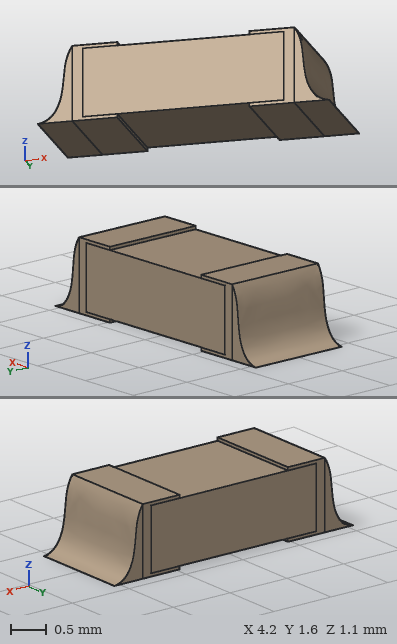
import cadquery as cq

LENGTH = 4.2
WIDTH = 1.6
HEIGHT = 1.1

CAP_TO_CAP = 3.2
CAP_LEG = 0.645
CAP_END_WALL = 0.15
CAP_PLATING = 0.05

FILLET_REACH = (LENGTH - CAP_TO_CAP) / 2
SHOULDER_OUT = 0.1
SHOULDER_HEIGHT = 0.85
WAIST_OUT = 0.175
WAIST_HEIGHT = 0.32
FOOT_OUT = 0.295
FOOT_HEIGHT = 0.1

CAP_FACE = CAP_TO_CAP / 2
CORE_LENGTH = CAP_TO_CAP - 2 * CAP_END_WALL
CORE_HEIGHT = HEIGHT - 2 * CAP_PLATING


def block(length, height, center_x, base_z):
    """Full-width block centred on Y, standing on base_z."""
    return (
        cq.Workplane("XY")
        .box(length, WIDTH, height, centered=(True, True, False))
        .translate((center_x, 0, base_z))
    )


def make_core():
    """Plain rectangular core raised by the plating thickness."""
    return block(CORE_LENGTH, CORE_HEIGHT, 0, CAP_PLATING)


def make_end_cap(side):
    """C-shaped cap whose recess matches the core; side is -1 or +1 along X."""
    blank = block(CAP_LEG, HEIGHT, side * (CAP_FACE - CAP_LEG / 2), 0)
    return blank.cut(make_core())


def make_solder_fillet(side):
    """Solder swept across the width, curving from the cap's top edge to its toe."""
    curve = [
        (SHOULDER_OUT, SHOULDER_HEIGHT),
        (WAIST_OUT, WAIST_HEIGHT),
        (FOOT_OUT, FOOT_HEIGHT),
        (FILLET_REACH, 0),
    ]
    curve_points = [(side * (CAP_FACE + out), z) for out, z in curve]
    return (
        cq.Workplane("XZ", origin=(0, WIDTH / 2, 0))
        .moveTo(side * CAP_FACE, 0)
        .lineTo(side * CAP_FACE, HEIGHT)
        .spline(curve_points, includeCurrent=True)
        .close()
        .extrude(WIDTH)
    )


SIDES = (-1, 1)
core = make_core()
end_caps = [make_end_cap(side) for side in SIDES]
solder_fillets = [make_solder_fillet(side) for side in SIDES]

result = cq.Compound.makeCompound(
    [core.val()]
    + [cap.val() for cap in end_caps]
    + [fillet.val() for fillet in solder_fillets]
)